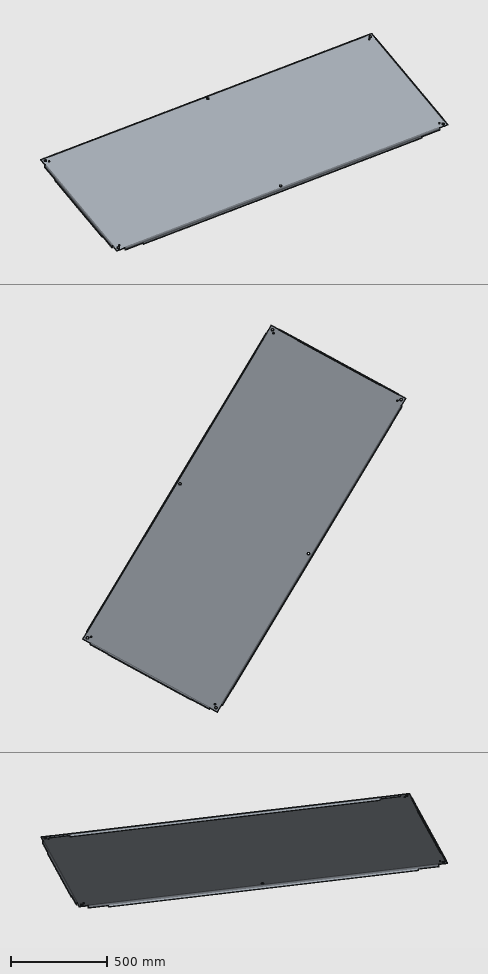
import cadquery as cq

PANEL_WIDTH = 812.0
PANEL_LENGTH = 1980.0
PANEL_HEIGHT = 22.0

SHEET = 2.5
BEND_RADIUS = 6.1
CORNER_INSET = 3.5

SHOULDER_DEPTH = 14.0
END_SHOULDER_LENGTH = 713.0
END_TONGUE_LENGTH = 499.0
SIDE_SHOULDER_LENGTH = 1877.0
SIDE_TONGUE_LENGTH = 1659.0

FIXING_DIAMETER = 12.7
PILOT_DIAMETER = 7.1
FIXING_EDGE = 22.0
PILOT_EDGE = 35.0


def top_sheet():
    """Flat sheet with square corner tabs, cut back where the folds begin."""
    full_width = PANEL_WIDTH - 2 * CORNER_INSET
    full_length = PANEL_LENGTH - 2 * CORNER_INSET
    flat_width = PANEL_WIDTH - 2 * BEND_RADIUS
    flat_length = PANEL_LENGTH - 2 * BEND_RADIUS
    edge_band = BEND_RADIUS - CORNER_INSET

    sheet = cq.Workplane("XY").rect(full_width, full_length).extrude(-SHEET)
    for side in (-1, 1):
        end_band = (
            cq.Workplane("XY")
            .center(0, side * (flat_length + edge_band) / 2)
            .rect(END_SHOULDER_LENGTH, edge_band)
            .extrude(-SHEET)
        )
        side_band = (
            cq.Workplane("XY")
            .center(side * (flat_width + edge_band) / 2, 0)
            .rect(edge_band, SIDE_SHOULDER_LENGTH)
            .extrude(-SHEET)
        )
        sheet = sheet.cut(end_band).cut(side_band)
    return sheet


def folded_strip(face_distance, length, depth):
    """Strip along X that folds down from the sheet, its outer face at Y = -face_distance."""
    fold_start = BEND_RADIUS - face_distance
    inner_face = SHEET - face_distance
    return (
        cq.Workplane("YZ")
        .moveTo(fold_start, 0)
        .lineTo(fold_start, -SHEET)
        .radiusArc((inner_face, -BEND_RADIUS), -(BEND_RADIUS - SHEET))
        .lineTo(inner_face, -depth)
        .lineTo(-face_distance, -depth)
        .lineTo(-face_distance, -BEND_RADIUS)
        .radiusArc((fold_start, 0), BEND_RADIUS)
        .close()
        .extrude(length / 2, both=True)
    )


def flange(face_distance, shoulder_length, tongue_length):
    shoulder = folded_strip(face_distance, shoulder_length, SHOULDER_DEPTH)
    tongue = folded_strip(face_distance, tongue_length, PANEL_HEIGHT)
    return shoulder.union(tongue)


def turned(body, angle):
    return body.rotate((0, 0, 0), (0, 0, 1), angle)


def corner_points(edge):
    x = PANEL_WIDTH / 2 - edge
    y = PANEL_LENGTH / 2 - edge
    return [(-x, -y), (x, -y), (x, y), (-x, y)]


def through_holes(points, diameter):
    return cq.Workplane("XY").pushPoints(points).circle(diameter / 2).extrude(-SHEET)


end_flange = flange(PANEL_LENGTH / 2, END_SHOULDER_LENGTH, END_TONGUE_LENGTH)
side_flange = flange(PANEL_WIDTH / 2, SIDE_SHOULDER_LENGTH, SIDE_TONGUE_LENGTH)

panel = top_sheet()
for angle in (0, 180):
    panel = panel.union(turned(end_flange, angle))
    panel = panel.union(turned(side_flange, angle + 90))

side_x = PANEL_WIDTH / 2 - FIXING_EDGE
fixing_points = corner_points(FIXING_EDGE) + [(-side_x, 0), (side_x, 0)]
panel = panel.cut(through_holes(fixing_points, FIXING_DIAMETER))

pilot_points = corner_points(PILOT_EDGE)
panel = panel.cut(through_holes(pilot_points, PILOT_DIAMETER))

result = panel